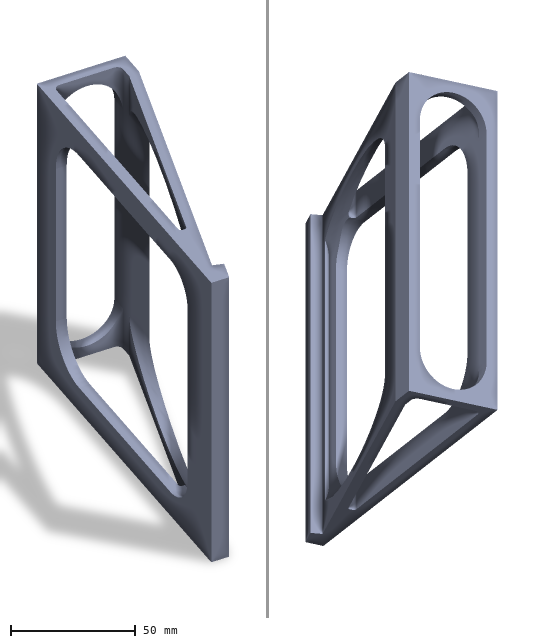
import cadquery as cq
import math

length = 150.0
depth = 40.0
height = 140.0
wall = 5.0

slope_angle = math.radians(15)
ridge_length = 11.7
slope_run = 128.1
lip_height = 5.0

slope_wall = 4.5
cavity_end = 113.4
cavity_back_radius = 2.7
cavity_tip_radius = 1.2

window_left = 16.4
window_right = 129.6
window_margin = 11.8
window_depth = 15.0
window_left_radius = 20.0
window_right_radius = 15.0

slot_end = 135.8

slope = math.tan(slope_angle)


def slope_y(x):
    """Y of the outer sloping face at a given X."""
    return depth - slope * (x - ridge_length)


def wedge_body():
    foot_x = ridge_length + slope_run
    foot_y = slope_y(foot_x)
    lip_x = foot_x + lip_height * math.sin(slope_angle)
    lip_y = foot_y + lip_height * math.cos(slope_angle)
    lip_end_y = lip_y - slope * (length - lip_x)
    outline = [
        (0, 0),
        (length, 0),
        (length, lip_end_y),
        (lip_x, lip_y),
        (foot_x, foot_y),
        (ridge_length, depth),
        (0, depth),
    ]
    return cq.Workplane("XY").polyline(outline).close().extrude(height)


def cavity():
    """Wedge-shaped hollow that runs through the full height."""
    drop = slope_wall / math.cos(slope_angle)
    top_y = depth - wall
    bend_x = ridge_length + (wall - drop) / slope
    tip_y = slope_y(cavity_end) - drop
    outline = [
        (wall, wall),
        (cavity_end, wall),
        (cavity_end, tip_y),
        (bend_x, top_y),
        (wall, top_y),
    ]
    hollow = cq.Workplane("XY").polyline(outline).close().extrude(height)
    hollow = hollow.edges("|Z and <X").fillet(cavity_back_radius)
    return hollow.edges("|Z and >X").fillet(cavity_tip_radius)


def window():
    """Opening in the flat side, rounder at the tall end."""
    opening = cq.Workplane("XY").box(
        window_right - window_left,
        window_depth,
        height - 2 * window_margin,
        centered=False,
    ).translate((window_left, 0, window_margin))
    opening = opening.edges("|Y and <X").fillet(window_left_radius)
    return opening.edges("|Y and >X").fillet(window_right_radius)


def end_slot():
    """Slot along X that opens the end wall and breaks out through the slope."""
    slot_width = depth - 2 * wall
    slot_length = height - 2 * wall
    return (
        cq.Workplane("YZ")
        .center(depth / 2, height / 2)
        .slot2D(slot_length, slot_width, 90)
        .extrude(slot_end)
    )


result = wedge_body().cut(cavity()).cut(window()).cut(end_slot())